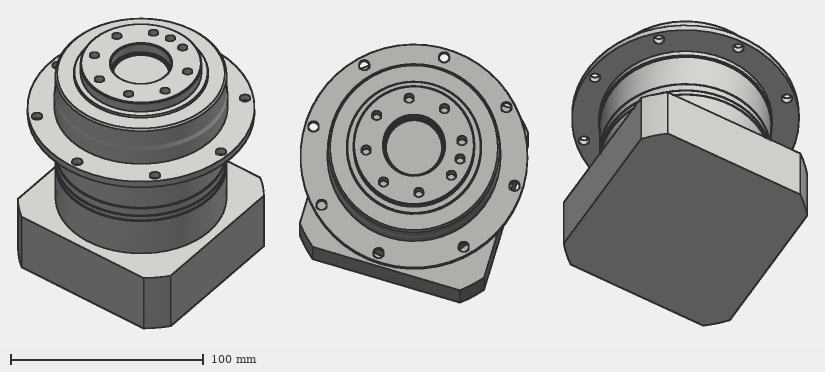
import cadquery as cq
import math

BASE_TOP = 34.8
LOWER_JOINT = 57.3
MIDDLE_JOINT = 60.7
GEAR_JOINT = 66.0
HOUSING_JOINT = 89.2
FLANGE_BOTTOM = 93.0
FLANGE_THICKNESS = 4.0
PILOT_TOP = 106.2
NOSE_CONE_TOP = 108.6
HOUSING_FACE = 120.0
LIP_HEIGHT = 1.0
TOTAL_HEIGHT = 127.0

BASE_SIDE = 100.0
BASE_CORNER_DIAMETER = 127.9

BODY_DIAMETER = 89.0
JOINT_CHAMFER = 0.4

PILOT_DIAMETER = 90.0
PILOT_CHAMFER = 0.5
NOSE_CHAMFER = 1.0
FLANGE_DIAMETER = 118.0
LIP_DIAMETER = 70.1
LIP_CHAMFER = 0.5

FLANGE_HOLE_DIAMETER = 5.5
FLANGE_HOLE_CIRCLE = 109.0
FLANGE_HOLE_COUNT = 8
SHIFTED_HOLE_ANGLE = -3.0

HUB_DIAMETER = 63.0
HUB_CHAMFER = 0.5
HUB_BORE_DIAMETER = 31.5
HUB_BORE_DEPTH = 6.0
HUB_HOLE_DIAMETER = 5.0
HUB_HOLE_CIRCLE = 50.0
HUB_HOLE_COUNT = 8
HUB_HOLE_DEPTH = 10.2
PIN_HOLE_ANGLE = 90.0

PLUG_DIAMETER = 29.0
PLUG_THICKNESS = 3.8
PLUG_DEPTH = 7.0
PLUG_TOP = TOTAL_HEIGHT - PLUG_DEPTH
SEAT_CHAMFER = 0.5


def disc(diameter, bottom, top):
    """Upright cylinder on the Z axis between two heights."""
    return cq.Workplane("XY").workplane(offset=bottom).circle(diameter / 2).extrude(top - bottom)


def circle_point(circle_diameter, angle):
    """Point on a hole circle at an angle in degrees from +X."""
    turn = math.radians(angle)
    return (circle_diameter / 2 * math.cos(turn), circle_diameter / 2 * math.sin(turn))


def drills(points, diameter, bottom, top):
    """Cylinders at the given points, to be cut away as holes."""
    plane = cq.Workplane("XY").workplane(offset=bottom)
    return plane.pushPoints(points).circle(diameter / 2).extrude(top - bottom)


def make_base():
    """Square base with rounded-off corners, carrying the lower round body."""
    block = cq.Workplane("XY").rect(BASE_SIDE, BASE_SIDE).extrude(BASE_TOP)
    block = block.intersect(disc(BASE_CORNER_DIAMETER, 0, BASE_TOP))
    return block.union(make_ring(BASE_TOP, LOWER_JOINT))


def make_ring(bottom, top):
    """Round body of the stack with a chamfered top edge."""
    return disc(BODY_DIAMETER, bottom, top).faces(">Z").edges().chamfer(JOINT_CHAMFER)


def make_housing():
    """Front housing with its pilot, mounting flange, nose and raised lip, bored for the hub."""
    lip_top = HOUSING_FACE + LIP_HEIGHT
    pilot_radius = PILOT_DIAMETER / 2
    nose_radius = BODY_DIAMETER / 2
    lip_radius = LIP_DIAMETER / 2
    profile = [
        (HUB_DIAMETER / 2, HOUSING_JOINT),
        (pilot_radius - PILOT_CHAMFER, HOUSING_JOINT),
        (pilot_radius, HOUSING_JOINT + PILOT_CHAMFER),
        (pilot_radius, PILOT_TOP),
        (nose_radius, NOSE_CONE_TOP),
        (nose_radius, HOUSING_FACE - NOSE_CHAMFER),
        (nose_radius - NOSE_CHAMFER, HOUSING_FACE),
        (lip_radius, HOUSING_FACE),
        (lip_radius - LIP_CHAMFER, lip_top),
        (HUB_DIAMETER / 2, lip_top),
    ]
    body = cq.Workplane("XZ").polyline(profile).close().revolve(360, (0, 0, 0), (0, 1, 0))

    flange_top = FLANGE_BOTTOM + FLANGE_THICKNESS
    flange = disc(FLANGE_DIAMETER, FLANGE_BOTTOM, flange_top)
    flange = flange.cut(disc(HUB_DIAMETER, FLANGE_BOTTOM, flange_top))

    hole_angles = [SHIFTED_HOLE_ANGLE]
    for index in range(1, FLANGE_HOLE_COUNT):
        hole_angles.append(index * 360 / FLANGE_HOLE_COUNT)
    points = [circle_point(FLANGE_HOLE_CIRCLE, angle) for angle in hole_angles]
    flange = flange.cut(drills(points, FLANGE_HOLE_DIAMETER, FLANGE_BOTTOM, flange_top))
    return body.union(flange)


def make_hub():
    """Output hub with a stepped bore, a circle of screw holes and one pin hole."""
    bore_floor = TOTAL_HEIGHT - HUB_BORE_DEPTH
    hub = disc(HUB_DIAMETER, HOUSING_JOINT, TOTAL_HEIGHT)
    hub = hub.cut(disc(HUB_BORE_DIAMETER, bore_floor, TOTAL_HEIGHT))
    hub = hub.faces(">Z").edges().chamfer(HUB_CHAMFER)

    hub = hub.cut(disc(PLUG_DIAMETER, PLUG_TOP - PLUG_THICKNESS, bore_floor))
    seat_rim = cq.selectors.BoxSelector(
        (-HUB_BORE_DIAMETER / 2, -HUB_BORE_DIAMETER / 2, bore_floor - SEAT_CHAMFER),
        (HUB_BORE_DIAMETER / 2, HUB_BORE_DIAMETER / 2, bore_floor + SEAT_CHAMFER),
    )
    smallest_circle = cq.selectors.RadiusNthSelector(0)
    hub = hub.edges(seat_rim).edges(smallest_circle).chamfer(SEAT_CHAMFER)

    spacing = 360 / HUB_HOLE_COUNT
    hole_angles = [(index + 0.5) * spacing for index in range(HUB_HOLE_COUNT)] + [PIN_HOLE_ANGLE]
    points = [circle_point(HUB_HOLE_CIRCLE, angle) for angle in hole_angles]
    hole_floor = TOTAL_HEIGHT - HUB_HOLE_DEPTH
    return hub.cut(drills(points, HUB_HOLE_DIAMETER, hole_floor, TOTAL_HEIGHT))


def make_plug():
    """Disc that closes the hub, just below the foot of the seat chamfer."""
    return disc(PLUG_DIAMETER, PLUG_TOP - PLUG_THICKNESS, PLUG_TOP)


base = make_base()
lower_ring = make_ring(LOWER_JOINT, MIDDLE_JOINT)
upper_ring = make_ring(MIDDLE_JOINT, GEAR_JOINT)
gear_case = make_ring(GEAR_JOINT, HOUSING_JOINT)
housing = make_housing()
hub = make_hub()
plug = make_plug()

result = cq.Compound.makeCompound(
    [base.val(), lower_ring.val(), upper_ring.val(), gear_case.val(), housing.val(), hub.val(), plug.val()]
)